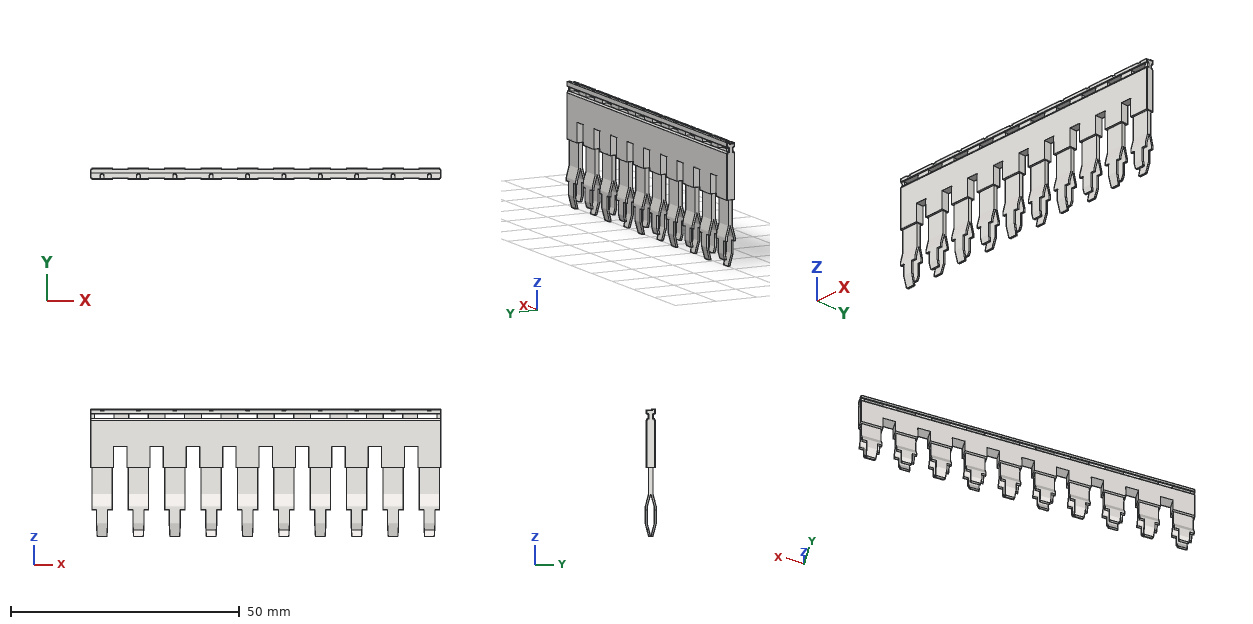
import cadquery as cq

length = 76.65
overall_height = 27.94
overall_depth = 2.42
pole_count = 10
finger_width = 5.1
pole_pitch = (length - finger_width) / (pole_count - 1)
pole_positions = [(i - (pole_count - 1) / 2) * pole_pitch for i in range(pole_count)]

housing_depth = 2.0
rail_step_y = 0.2
rail_step_z = -0.23
rail_bottom = -1.15
rail_lower_chamfer = 0.15
neck_depth = 1.15
neck_fillet = 0.2
neck_bottom = -2.08
shoulder_depth = 1.45
shoulder_bottom = -2.5
slot_top = -8.25
body_bottom = -12.85
end_chamfer = 0.18

window_width = 4.2
end_window_shift = 0.5

notch_width = 0.9
notch_depth = 0.22
notch_draft_angle = 20
notch_back_y = 0.0

leg_half_depth = 0.5
sheet_thickness = 0.46
bend_radius = 0.9
spread_start = -18.67
bulge_start = -21.35
bulge_end = -25.05
short_limb_end = -26.45
long_limb_end = -overall_height
long_limb_end_y = 0.48

leg_width = 4.5
leg_bottom = -22.1
tip_width = 2.48
tip_taper_per_side = 0.14
tip_corner = 0.15

pick_margin = 0.01


def block(x_size, z_min, z_max, x_center):
    """Block as deep as the housing, centred on x_center."""
    shape = cq.Workplane("XY").box(x_size, housing_depth, z_max - z_min)
    return shape.translate((x_center, 0, (z_min + z_max) / 2))


def lengthwise_edges(shape, y_min, y_max, z_min, z_max):
    """Edges of the shape along X whose centres lie in the given YZ range."""
    region = cq.selectors.BoxSelector(
        (-length, y_min - pick_margin, z_min - pick_margin),
        (length, y_max + pick_margin, z_max + pick_margin),
    )
    return shape.edges("|X").edges(region)


def make_housing_bar():
    """Full-length extrusion of the rail, neck and body section, with chamfered ends."""
    half = housing_depth / 2
    half_neck = neck_depth / 2
    half_shoulder = shoulder_depth / 2
    below_rail_top = [
        (half, rail_bottom + rail_lower_chamfer),
        (half - rail_lower_chamfer, rail_bottom),
        (half_neck, rail_bottom),
        (half_neck, neck_bottom),
        (half_shoulder, neck_bottom),
        (half, shoulder_bottom),
        (half, body_bottom),
    ]
    mirrored = [(-y, z) for y, z in reversed(below_rail_top)]
    rail_top = [(-half, rail_step_z), (rail_step_y, rail_step_z), (rail_step_y, 0), (half, 0)]
    section = below_rail_top + mirrored + rail_top
    bar = cq.Workplane("YZ").polyline(section).close().extrude(length / 2, both=True)
    bar = lengthwise_edges(bar, -half_neck, half_neck, rail_bottom, rail_bottom).fillet(neck_fillet)
    return bar.faces("<X or >X").edges("not(<Z)").chamfer(end_chamfer)


def cut_slots(housing):
    """Open the gaps between neighbouring fingers."""
    slot_width = pole_pitch - finger_width
    for left, right in zip(pole_positions, pole_positions[1:]):
        housing = housing.cut(block(slot_width, body_bottom, slot_top, (left + right) / 2))
    return housing


def cut_windows(housing):
    """Pierce the neck; the two outermost windows sit closer to the middle."""
    window_positions = list(pole_positions)
    window_positions[0] += end_window_shift
    window_positions[-1] -= end_window_shift
    for x in window_positions:
        housing = housing.cut(block(window_width, neck_bottom, rail_bottom, x))
    return housing


def cut_notches(housing):
    """Round-backed, drafted notches that run out through the front of the rail."""
    radius = notch_width / 2
    back_center_y = notch_back_y - radius
    beyond_front_y = -housing_depth
    for x in pole_positions:
        notch = (
            cq.Workplane("XY", origin=(x, 0, rail_step_z))
            .moveTo(-radius, beyond_front_y)
            .lineTo(-radius, back_center_y)
            .threePointArc((0, notch_back_y), (radius, back_center_y))
            .lineTo(radius, beyond_front_y)
            .close()
            .extrude(-notch_depth, taper=notch_draft_angle)
        )
        housing = housing.cut(notch)
    return housing


def make_limb_outline(limb_end):
    """Front silhouette of a limb that stops at limb_end, with cut corners."""
    half_width = tip_width / 2
    tapered_fraction = (bulge_end - limb_end) / (bulge_end - long_limb_end)
    half_end = half_width - tip_taper_per_side * tapered_fraction
    right_side = [
        (leg_width / 2, body_bottom),
        (leg_width / 2, leg_bottom),
        (half_width, leg_bottom),
        (half_width, bulge_end),
        (half_end, limb_end + tip_corner),
        (half_end - tip_corner, limb_end),
    ]
    left_side = [(-x, z) for x, z in reversed(right_side)]
    outline = cq.Workplane("XZ").polyline(right_side + left_side).close()
    return outline.extrude(overall_depth, both=True)


def make_limb(side, limb_end):
    """One bent spring sheet on the given side of Y (+1 or -1), ending at limb_end."""
    outer = overall_depth / 2
    inner = outer - sheet_thickness
    inward_slope = (outer - long_limb_end_y) / (bulge_end - long_limb_end)
    end_outer = outer - inward_slope * (bulge_end - limb_end)
    bent_sheet = [
        (0, body_bottom),
        (leg_half_depth, body_bottom),
        (leg_half_depth, spread_start),
        (outer, bulge_start),
        (outer, bulge_end),
        (end_outer, limb_end),
        (end_outer - sheet_thickness, limb_end),
        (inner, bulge_end),
        (inner, bulge_start),
        (0, spread_start),
    ]
    points = [(side * y, z) for y, z in bent_sheet]
    limb = cq.Workplane("YZ").polyline(points).close().extrude(leg_width / 2, both=True)
    bends = lengthwise_edges(limb, side * outer, side * outer, bulge_end, bulge_start)
    return bends.fillet(bend_radius).intersect(make_limb_outline(limb_end))


def make_tine(long_side):
    """Pair of limbs; the one on long_side reaches the tip, the other stops short."""
    return make_limb(long_side, long_limb_end).union(make_limb(-long_side, short_limb_end))


front_long_tine = make_tine(-1)
back_long_tine = make_tine(1)

result = cut_notches(cut_windows(cut_slots(make_housing_bar())))
for index, x in enumerate(pole_positions):
    tine = front_long_tine if index % 2 == 0 else back_long_tine
    result = result.union(tine.translate((x, 0, 0)))